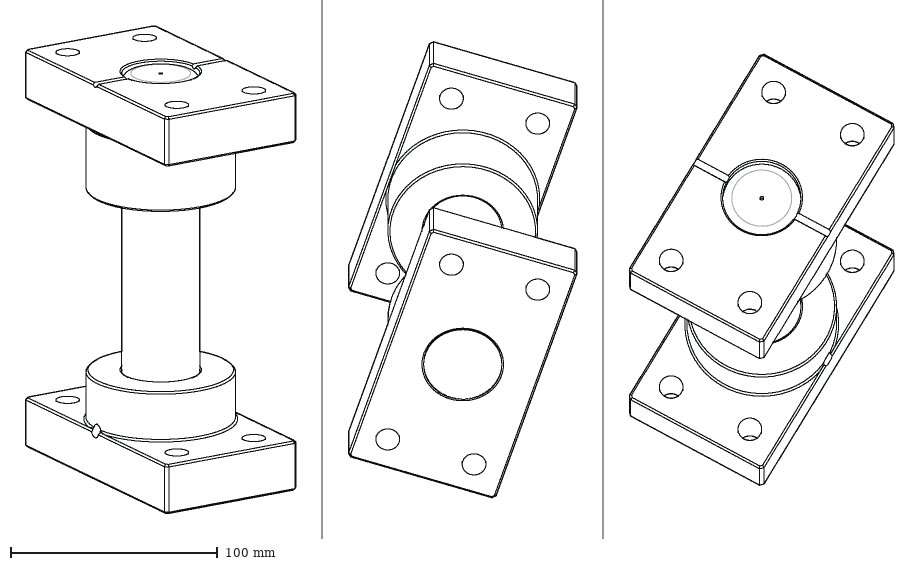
import cadquery as cq
total_height = 201.2
plate_length = 130.0
plate_width = 75.0
plate_thickness = 25.0
plate_chamfer = 1.0
plate_corner_chamfer = 1.6
collar_radius = 36.2
collar_chamfer = 1.0
lower_collar_height = 25.0
upper_collar_height = 35.0

bolt_hole_diameter = 11.5
bolt_spacing_x = 99.8
bolt_spacing_y = 43.9

post_radius = 19.0
post_top_round = 4.5
post_recess = 1.0
bore_mouth_chamfer = 0.8
center_hole_diameter = 1.8
center_hole_depth = 2.5

foot_flare = 1.0
vent_radius = 1.8
side_hole_diameter = 6.5

post_top = total_height - post_recess


def make_holder(collar_height):
    """Plate standing on Z = 0 with a collar on top, bored for the post and drilled for bolts."""
    plate = (
        cq.Workplane("XY")
        .box(plate_length, plate_width, plate_thickness, centered=(True, True, False))
        .edges("|Z")
        .chamfer(plate_corner_chamfer)
        .faces("<Z or >Z")
        .edges()
        .chamfer(plate_chamfer)
    )
    collar = (
        cq.Workplane("XY")
        .circle(collar_radius)
        .extrude(plate_thickness + collar_height)
        .faces(">Z")
        .edges()
        .chamfer(collar_chamfer)
    )
    bolt_holes = (
        cq.Workplane("XY")
        .rect(bolt_spacing_x, bolt_spacing_y, forConstruction=True)
        .vertices()
        .circle(bolt_hole_diameter / 2)
        .extrude(plate_thickness)
    )
    bore = make_bore(plate_thickness + collar_height)
    return plate.union(collar).union(make_collar_foot()).cut(bolt_holes).cut(bore)


def make_collar_foot():
    """Small cone around the foot of the collar, trimmed to the flat face of the plate."""
    cone = (
        cq.Workplane("XY", origin=(0, 0, plate_thickness))
        .circle(collar_radius + foot_flare)
        .extrude(foot_flare, taper=45)
    )
    face_prism = cq.Workplane("XY", origin=(0, 0, plate_thickness)).box(
        plate_length - 2 * plate_chamfer,
        plate_width - 2 * plate_chamfer,
        foot_flare,
        centered=(True, True, False),
    )
    return cone.intersect(face_prism)


def make_bore(depth):
    """Through bore for the post, with a chamfered mouth at each end."""
    mouth_radius = post_radius + bore_mouth_chamfer
    return (
        cq.Workplane("XZ")
        .moveTo(0, 0)
        .lineTo(mouth_radius, 0)
        .lineTo(post_radius, bore_mouth_chamfer)
        .lineTo(post_radius, depth - bore_mouth_chamfer)
        .lineTo(mouth_radius, depth)
        .lineTo(0, depth)
        .close()
        .revolve(360, (0, 0, 0), (0, 1, 0))
    )


def make_lower_holder():
    """Lower holder with a side hole drilled into the bore on the plate and collar joint."""
    side_hole = (
        cq.Workplane("XZ", origin=(0, -plate_width / 2, plate_thickness))
        .circle(side_hole_diameter / 2)
        .extrude(-plate_width / 2)
    )
    return make_holder(lower_collar_height).cut(side_hole)


def make_upper_holder():
    """Holder turned upside down, with a round-bottomed vent channel across its top face."""
    vent = (
        cq.Workplane("XZ", origin=(0, 0, total_height))
        .moveTo(-vent_radius, 0)
        .threePointArc((0, -vent_radius), (vent_radius, 0))
        .lineTo(vent_radius, vent_radius)
        .lineTo(-vent_radius, vent_radius)
        .close()
        .extrude(plate_width, both=True)
    )
    holder = make_holder(upper_collar_height).rotate((0, 0, 0), (1, 0, 0), 180)
    return holder.translate((0, 0, total_height)).cut(vent)


def make_post():
    """Guide post with a rounded top and a small center hole."""
    return (
        cq.Workplane("XY")
        .circle(post_radius)
        .extrude(post_top)
        .faces(">Z")
        .edges()
        .fillet(post_top_round)
        .faces(">Z")
        .workplane()
        .hole(center_hole_diameter, center_hole_depth)
    )


lower_holder = make_lower_holder()
upper_holder = make_upper_holder()
post = make_post()

result = cq.Compound.makeCompound([lower_holder.val(), upper_holder.val(), post.val()])